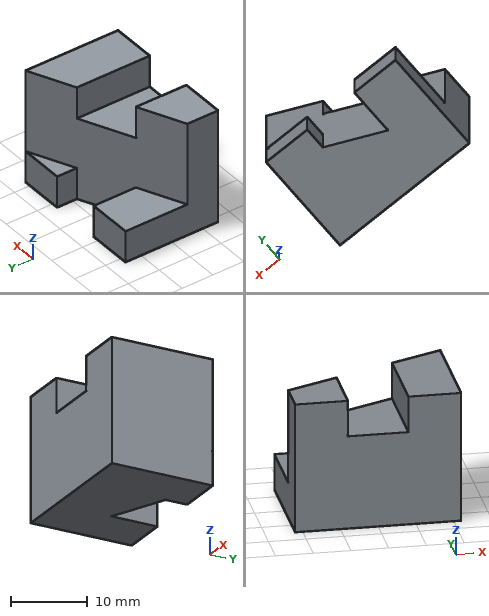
import cadquery as cq

length = 22.0
depth = 15.0
height = 18.0

base_height = 5.0
wall_thin_end = 5.0

slot_start = 7.0
slot_width = 8.0
slot_depth = 5.0


def slot_cutter(bottom, top):
    """Block as wide as the slot and as deep as the part, between two heights."""
    return cq.Workplane("XY").box(slot_width, depth, top - bottom, centered=False).translate(
        (slot_start, 0, bottom)
    )


wall = (
    cq.Workplane("XY")
    .polyline([(0, 0), (length, 0), (length, depth), (0, wall_thin_end)])
    .close()
    .extrude(height)
)
slotted_wall = wall.cut(slot_cutter(height - slot_depth, height))

base = cq.Workplane("XY").box(length, depth, base_height, centered=False)
notched_base = base.cut(slot_cutter(0, base_height))

result = notched_base.union(slotted_wall)